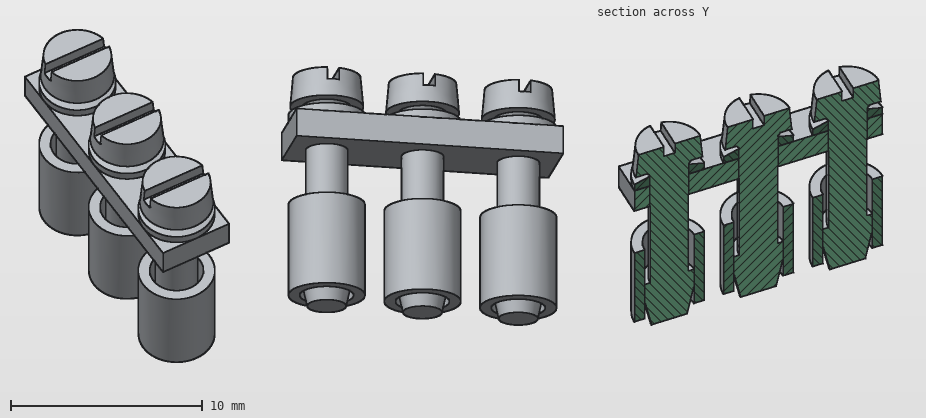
import cadquery as cq

bar_length = 14.2
bar_width = 4.0
bar_thickness = 1.5

screw_count = 3
screw_pitch = (bar_length - bar_width) / (screw_count - 1)

sleeve_diameter = bar_width
sleeve_height = 5.0
sleeve_bore_radius = 1.4

washer_diameter = bar_width
washer_rim_height = 0.44
washer_cone_height = 0.25

shank_radius = 1.11
tip_radius = 1.02
tip_radius_at_sleeve = 1.15
tip_protrusion = 0.6
undercut_height = 0.2
undercut_radius = 1.26
head_bottom_radius = 1.92
head_top_radius = 1.78
head_height = 1.6
slot_width = 0.62
slot_depth = 0.67

sleeve_bar_gap = 3.0
sleeve_bottom = tip_protrusion
sleeve_top = sleeve_bottom + sleeve_height
bar_bottom = sleeve_top + sleeve_bar_gap
bar_top = bar_bottom + bar_thickness
washer_rim_top = bar_top + washer_rim_height
washer_top = washer_rim_top + washer_cone_height
head_bottom = washer_top + undercut_height
head_top = head_bottom + head_height

tip_growth_rate = (tip_radius_at_sleeve - tip_radius) / tip_protrusion
taper_top = (sleeve_bore_radius - tip_radius) / tip_growth_rate
thread_top = sleeve_bottom + sleeve_height / 2


def turned(profile):
    """Revolve a closed outline of (radius, height) points about the Z axis."""
    return cq.Workplane("XZ").polyline(profile).close().revolve(360, (0, 0), (0, 1))


def make_bar(positions):
    """Flat bar with one clearance-free hole for each screw shank."""
    bar = cq.Workplane("XY").workplane(offset=bar_bottom)
    bar = bar.rect(bar_length, bar_width).extrude(bar_thickness)
    holes = cq.Workplane("XY").workplane(offset=bar_bottom).pushPoints(positions)
    return bar.cut(holes.circle(shank_radius).extrude(bar_thickness))


def make_sleeve():
    """Plain tube that the screw threads into."""
    base = cq.Workplane("XY").workplane(offset=sleeve_bottom)
    return base.circle(sleeve_diameter / 2).circle(sleeve_bore_radius).extrude(sleeve_height)


def make_washer():
    """Washer with a cylindrical rim and a conical top, close-fitting on the shank."""
    return turned([
        (shank_radius, bar_top),
        (washer_diameter / 2, bar_top),
        (washer_diameter / 2, washer_rim_top),
        (shank_radius, washer_top),
    ])


def make_screw():
    """Screw with tapered tip, thread, reduced shank and slotted conical head."""
    body = turned([
        (0, 0),
        (tip_radius, 0),
        (sleeve_bore_radius, taper_top),
        (sleeve_bore_radius, thread_top),
        (shank_radius, thread_top),
        (shank_radius, washer_top),
        (undercut_radius, head_bottom),
        (head_bottom_radius, head_bottom),
        (head_top_radius, head_top),
        (0, head_top),
    ])
    slot = cq.Workplane("XY").workplane(offset=head_top - slot_depth)
    slot = slot.rect(slot_width, 2 * head_bottom_radius).extrude(slot_depth)
    return body.cut(slot)


screw_positions = []
for index in range(screw_count):
    offset_from_middle = index - (screw_count - 1) / 2
    screw_positions.append((offset_from_middle * screw_pitch, 0))

bar = make_bar(screw_positions)
bodies = [bar.val()]
for x, y in screw_positions:
    for make_body in (make_sleeve, make_washer, make_screw):
        bodies.append(make_body().translate((x, y, 0)).val())

result = cq.Compound.makeCompound(bodies)